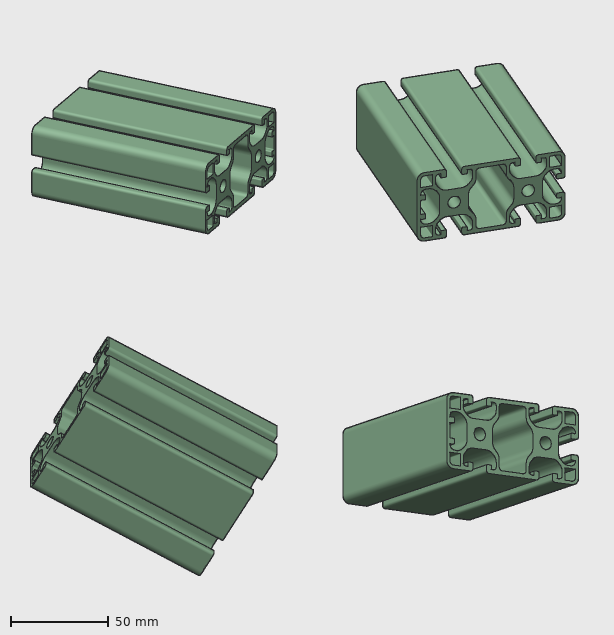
import cadquery as cq
import math

LENGTH = 100.0
MODULE = 40.0
HALF_MODULE = MODULE / 2
WIDTH = 2 * MODULE
CORE_OFFSET = HALF_MODULE
OUTER_RADIUS = 4.0

CORE_HALF = 7.8
BORE_DIAMETER = 6.8

MOUTH_HALF = 4.1
LIP_OUTER_HALF = 7.1
LIP_DEPTH = 4.6
MOUTH_RADIUS = 1.5
CLEARANCE = 1.0
LIP_TIP_RADIUS = 0.6

FLAT_WALL = 2.3
FLAT_SLOT_HALF = 10.0
FLAT_SHOULDER_RADIUS = 1.6
FLAT_FLANK = 3.9
FLAT_FLANK_RADIUS = 4.9

SIDE_WALL = 1.9
SIDE_SLOT_HALF = 10.2
SIDE_SHOULDER_RADIUS = 2.9
SIDE_FLANK = 4.0
SIDE_FLANK_RADIUS = 5.2
CLOSED_WALL_RADIUS = 0.5

POCKET_SIZE = 6.5
POCKET_OUTER_RADIUS = OUTER_RADIUS - SIDE_WALL
POCKET_RADIUS = 0.5

CAVITY_HALF = 8.2
CAVITY_CORNER_RADIUS = 2.0
CAVITY_WAIST_HALF_HEIGHT = 5.3
CAVITY_SHOULDER_HEIGHT = 10.0
CAVITY_BEND_RADIUS = 5.0


def rounded_prism(corners):
    """Full-length prism over closed corners (y, z, radius); radius 0 stays sharp."""
    stretches = []
    for index, (y, z, radius) in enumerate(corners):
        corner = cq.Vector(y, z)
        if radius == 0:
            stretches.append((corner, None, corner))
            continue
        previous_corner = cq.Vector(*corners[index - 1][:2])
        next_corner = cq.Vector(*corners[(index + 1) % len(corners)][:2])
        before = (previous_corner - corner).normalized()
        after = (next_corner - corner).normalized()
        half_angle = before.getAngle(after) / 2
        setback = radius / math.tan(half_angle)
        arc_gap = radius / math.sin(half_angle) - radius
        middle = corner + (before + after).normalized() * arc_gap
        stretches.append((corner + before * setback, middle, corner + after * setback))

    first_end = stretches[0][2]
    outline = cq.Workplane("YZ", origin=(-LENGTH / 2, 0, 0)).moveTo(first_end.x, first_end.y)
    for start, middle, end in stretches[1:] + stretches[:1]:
        outline = outline.lineTo(start.x, start.y)
        if middle is not None:
            outline = outline.threePointArc((middle.x, middle.y), (end.x, end.y))
    return outline.close().extrude(LENGTH)


def mirrored(half):
    """Complete a half outline by reflecting it across the vertical axis."""
    return half + [(-y, z, radius) for y, z, radius in reversed(half)]


def open_mouth():
    """Half outline of a slot mouth, flared by its rounded edge, opening upwards."""
    flare = MOUTH_HALF + MOUTH_RADIUS + CLEARANCE
    return [
        (flare, HALF_MODULE + CLEARANCE, 0),
        (flare, HALF_MODULE, 0),
        (MOUTH_HALF, HALF_MODULE, MOUTH_RADIUS),
    ]


def slot_chamber(wall, half_width, shoulder_radius, flank, flank_radius):
    """Half outline of a slot from the lip tip round to the floor on the core."""
    lip_tip = HALF_MODULE - LIP_DEPTH
    ceiling = HALF_MODULE - wall
    return [
        (MOUTH_HALF, lip_tip, LIP_TIP_RADIUS),
        (LIP_OUTER_HALF, lip_tip, LIP_TIP_RADIUS),
        (LIP_OUTER_HALF, ceiling, 0),
        (half_width, ceiling, shoulder_radius),
        (half_width, CORE_HALF + flank, flank_radius),
        (half_width - flank, CORE_HALF, flank_radius),
    ]


def flat_slot():
    """Upward slot for the module at +Y; the lip nearer the +Y edge has a sharp inner corner."""
    chamber = slot_chamber(
        FLAT_WALL, FLAT_SLOT_HALF, FLAT_SHOULDER_RADIUS, FLAT_FLANK, FLAT_FLANK_RADIUS
    )
    outline = mirrored(open_mouth() + chamber)
    edge_lip_corner = len(open_mouth()) + 1
    y, z, _ = outline[edge_lip_corner]
    outline[edge_lip_corner] = (y, z, 0)
    return rounded_prism(outline).translate((0, CORE_OFFSET, 0))


def side_slot(mouth):
    """Slot with the given mouth, opening upwards about the X axis."""
    chamber = slot_chamber(
        SIDE_WALL, SIDE_SLOT_HALF, SIDE_SHOULDER_RADIUS, SIDE_FLANK, SIDE_FLANK_RADIUS
    )
    return rounded_prism(mirrored(mouth + chamber))


def corner_pocket():
    """Pocket in the +Y, +Z corner, sharp where the side wall meets the side slot."""
    outer_y = WIDTH / 2 - SIDE_WALL
    outer_z = HALF_MODULE - SIDE_WALL
    return rounded_prism([
        (outer_y, outer_z, POCKET_OUTER_RADIUS),
        (outer_y - POCKET_SIZE, outer_z, POCKET_RADIUS),
        (outer_y - POCKET_SIZE, outer_z - POCKET_SIZE, POCKET_RADIUS),
        (outer_y, outer_z - POCKET_SIZE, 0),
    ])


def central_cavity():
    """Hollow that widens between the two cores and narrows beside the flat slots."""
    waist_half = CORE_OFFSET - CORE_HALF
    upper_right = [
        (CAVITY_HALF, HALF_MODULE - FLAT_WALL, CAVITY_CORNER_RADIUS),
        (CAVITY_HALF, CAVITY_SHOULDER_HEIGHT, CAVITY_BEND_RADIUS),
        (waist_half, CAVITY_WAIST_HALF_HEIGHT, CAVITY_BEND_RADIUS),
    ]
    lower_right = [(y, -z, radius) for y, z, radius in reversed(upper_right)]
    return rounded_prism(mirrored(upper_right + lower_right))


result = cq.Workplane("XY").box(LENGTH, WIDTH, MODULE).edges("|X").fillet(OUTER_RADIUS)
result = result.cut(central_cavity())

for quadrant_cut in (flat_slot(), corner_pocket()):
    for cutter in (quadrant_cut, quadrant_cut.mirror("XZ")):
        result = result.cut(cutter).cut(cutter.mirror("XY"))

closed_mouth = [(MOUTH_HALF, HALF_MODULE - SIDE_WALL, CLOSED_WALL_RADIUS)]
for mouth, quarter_turn, core_y in (
    (open_mouth(), 90, -CORE_OFFSET),
    (closed_mouth, -90, CORE_OFFSET),
):
    cutter = side_slot(mouth).rotate((0, 0, 0), (1, 0, 0), quarter_turn)
    result = result.cut(cutter.translate((0, core_y, 0)))

for core_y in (-CORE_OFFSET, CORE_OFFSET):
    bore = cq.Workplane("YZ").center(core_y, 0).circle(BORE_DIAMETER / 2)
    bore = bore.extrude(LENGTH / 2, both=True)
    result = result.cut(bore)